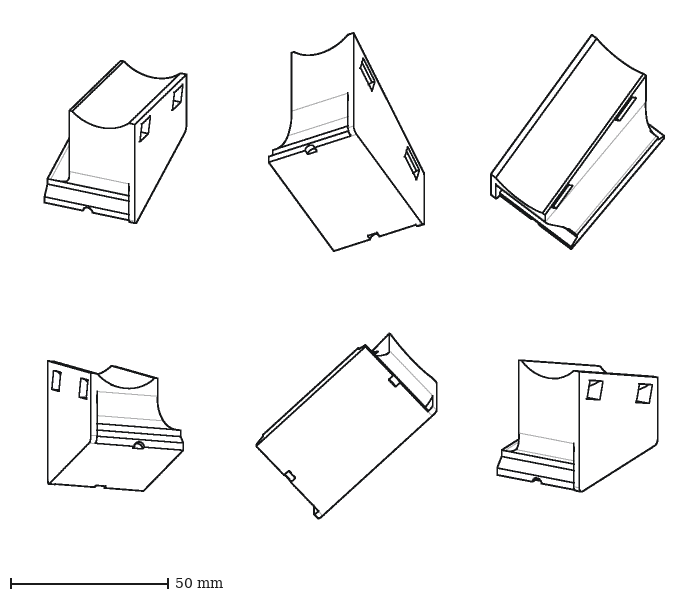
import cadquery as cq
import math

width = 31.0
length = 51.6
half_length = length / 2
low_end_height = 22.5
slope_angle = 20.0

panel_thickness = 2.0
panel_corner_radius = 2.0
body_width = width - panel_thickness

wall_x = 9.0
ledge_height = 7.5
ledge_fillet = 8.0

foot_half = 23.75
neck_inset = 5.0
neck_half = half_length - neck_inset
foot_edge_height = 2.4
neck_start_height = foot_edge_height + foot_half - neck_half
overhang_angle = 45.0
overhang_fillet = 10.0

notch_x = body_width / 2
notch_radius = 1.6
notch_depth = 2.0

saddle_x = 19.5
saddle_radius = 13.5
saddle_depth = 3.9

slot_length = 9.0
slot_height = 6.0
slot_floor_depth = 8.5
slot_core_wall = 2.5
slot_core_radius = saddle_radius + slot_core_wall
slot_positions = (7.5, 42.0)

slope = math.radians(slope_angle)
high_end_height = low_end_height + length * math.tan(slope)
slope_length = length / math.cos(slope)

slope_plane = cq.Plane(
    origin=(0, half_length, low_end_height),
    xDir=(1, 0, 0),
    normal=(0, -math.cos(slope), math.sin(slope)),
)


def extrude_along_x(profile, start, distance):
    """Extrude a profile drawn on the YZ plane from X = start."""
    return profile.extrude(distance).translate((start, 0, 0))


def make_step():
    """Ledge and upright wall, constant along Y."""
    mid = ledge_fillet * math.cos(math.pi / 4)
    center_x = wall_x - ledge_fillet
    center_z = ledge_height + ledge_fillet
    return (
        cq.Workplane("XZ")
        .lineTo(body_width, 0)
        .lineTo(body_width, high_end_height)
        .lineTo(wall_x, high_end_height)
        .lineTo(wall_x, center_z)
        .threePointArc((center_x + mid, center_z - mid), (center_x, ledge_height))
        .lineTo(0, ledge_height)
        .close()
        .extrude(half_length, both=True)
    )


def make_dovetail():
    """Foot, neck and blended overhang up to the sloped top, constant along X."""
    overhang = math.radians(overhang_angle)
    corner_z = ledge_height + neck_inset * math.tan(overhang)
    arc_top = corner_z + overhang_fillet * math.tan(overhang / 2)

    def arc_point(angle):
        """Point on the +Y blend, turned by angle from its upper end."""
        y = half_length - overhang_fillet * (1 - math.cos(angle))
        return y, arc_top - overhang_fillet * math.sin(angle)

    def mirrored(point):
        """The same point on the -Y side."""
        return -point[0], point[1]

    blend_mid = arc_point(overhang / 2)
    blend_end = arc_point(overhang)
    profile = (
        cq.Workplane("YZ")
        .moveTo(-foot_half, 0)
        .lineTo(foot_half, 0)
        .lineTo(foot_half, foot_edge_height)
        .lineTo(neck_half, neck_start_height)
        .lineTo(neck_half, ledge_height)
        .lineTo(*blend_end)
        .threePointArc(blend_mid, (half_length, arc_top))
        .lineTo(half_length, low_end_height)
        .lineTo(-half_length, high_end_height)
        .lineTo(-half_length, arc_top)
        .threePointArc(mirrored(blend_mid), mirrored(blend_end))
        .lineTo(-neck_half, ledge_height)
        .lineTo(-neck_half, neck_start_height)
        .lineTo(-foot_half, foot_edge_height)
        .close()
    )
    return extrude_along_x(profile, 0, body_width)


def make_panel():
    """Back panel with rounded bottom corners."""
    profile = (
        cq.Workplane("YZ")
        .moveTo(-half_length, 0)
        .lineTo(half_length, 0)
        .lineTo(half_length, low_end_height)
        .lineTo(-half_length, high_end_height)
        .close()
    )
    panel = extrude_along_x(profile, body_width, panel_thickness)
    return panel.edges("|X").edges("<Z").fillet(panel_corner_radius)


def bar_cylinder(radius, start, distance):
    """Cylinder on the saddle axis, beginning at the given place along the slope."""
    return (
        cq.Workplane(slope_plane)
        .workplane(offset=start)
        .center(saddle_x, saddle_radius - saddle_depth)
        .circle(radius)
        .extrude(distance)
    )


def make_saddle():
    """Cylinder along the slope, run past both ends of the part."""
    overrun = saddle_radius
    return bar_cylinder(saddle_radius, -overrun, slope_length + 2 * overrun)


def make_slot(position):
    """Flat-floored strap passage whose roof bulges down around the saddle axis."""
    start = position - slot_length / 2
    passage = (
        cq.Workplane(slope_plane)
        .workplane(offset=start)
        .center(width / 2, slot_height / 2 - slot_floor_depth)
        .rect(width, slot_height)
        .extrude(slot_length)
    )
    return passage.cut(bar_cylinder(slot_core_radius, start, slot_length))


def make_notch(side):
    """Half-round blind notch in the foot edge on the given Y side (+1 or -1)."""
    return (
        cq.Workplane("XZ", origin=(notch_x, side * foot_half, 0))
        .circle(notch_radius)
        .extrude(side * notch_depth)
    )


result = make_step().intersect(make_dovetail()).union(make_panel())
result = result.cut(make_saddle())
for slot_position in slot_positions:
    result = result.cut(make_slot(slot_position))
for notch_side in (-1, 1):
    result = result.cut(make_notch(notch_side))